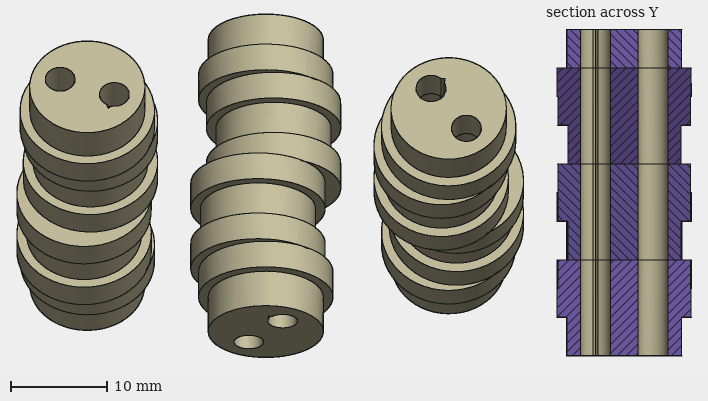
import cadquery as cq
import math

journal_diameter = 12.0
journal_height = 4.0
web_diameter = 14.0
web_height = 3.0
hole_diameter = 3.1
hole_spacing = 6.0
notch_reach = 1.87
notch_angle = 75

crank_throw = (web_diameter - journal_diameter) / 2
journal_offsets = [0, -crank_throw, crank_throw, 0]
journal_pitch = journal_height + 2 * web_height
shaft_height = (len(journal_offsets) - 1) * journal_pitch + journal_height


def disc(diameter, height, y, z):
    """Upright cylinder shifted along Y, standing on level z."""
    return cq.Workplane("XY", origin=(0, y, z)).circle(diameter / 2).extrude(height)


def rod_holes():
    """Cutter for the two holes that run straight through the whole shaft."""
    keyed_x = hole_spacing / 2
    holes = (
        cq.Workplane("XY")
        .pushPoints([(-keyed_x, 0), (keyed_x, 0)])
        .circle(hole_diameter / 2)
        .extrude(shaft_height)
    )
    half_width = notch_reach * math.tan(math.radians(notch_angle / 2))
    notch = (
        cq.Workplane("XY")
        .polyline([
            (keyed_x - half_width, 0),
            (keyed_x, -notch_reach),
            (keyed_x + half_width, 0),
        ])
        .close()
        .extrude(shaft_height)
    )
    return holes.union(notch)


def crank_segment(index):
    """Journal topped by two webs, the upper one in line with the next journal."""
    y = journal_offsets[index]
    next_y = journal_offsets[index + 1]
    journal_z = index * journal_pitch
    lower_web_z = journal_z + journal_height
    upper_web_z = lower_web_z + web_height
    return (
        disc(journal_diameter, journal_height, y, journal_z)
        .union(disc(web_diameter, web_height, y, lower_web_z))
        .union(disc(web_diameter, web_height, next_y, upper_web_z))
        .cut(rod_holes())
    )


def end_journal():
    """Plain journal that closes the top of the shaft."""
    z = shaft_height - journal_height
    return disc(journal_diameter, journal_height, journal_offsets[-1], z).cut(rod_holes())


segments = [crank_segment(index).solids().val() for index in range(len(journal_offsets) - 1)]
top_journal = end_journal().solids().val()

result = cq.Compound.makeCompound([*segments, top_journal])